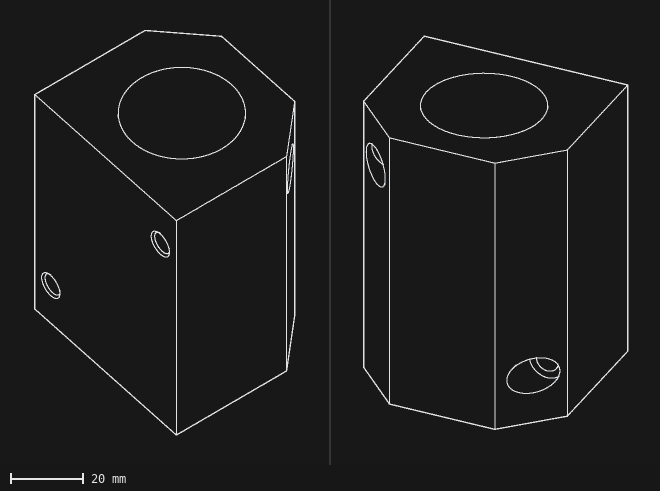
import cadquery as cq

width = 62.0
depth = 54.0
height = 85.0
corner_cut = 15.0

bore_diameter = 35.0

bolt_offset_x = 24.0
bolt_offset_z = 27.5
bolt_diameter = 6.6
bolt_mouth_diameter = 8.0
counterbore_diameter = 11.0
counterbore_floor_y = 37.0


def make_block():
    block = cq.Workplane("XY").box(width, depth, height, centered=(True, False, False))
    return block.edges("|Z and >Y").chamfer(corner_cut)


def make_bore():
    return cq.Workplane("XY").center(0, depth / 2).circle(bore_diameter / 2).extrude(height)


def make_bolt_hole(x, z):
    """Through hole with a 45 degree front mouth and a rear counterbore, revolved about its axis."""
    hole_radius = bolt_diameter / 2
    mouth_radius = bolt_mouth_diameter / 2
    counterbore_radius = counterbore_diameter / 2
    profile = (
        cq.Workplane("XY")
        .moveTo(0, 0)
        .lineTo(mouth_radius, 0)
        .lineTo(hole_radius, mouth_radius - hole_radius)
        .lineTo(hole_radius, counterbore_floor_y)
        .lineTo(counterbore_radius, counterbore_floor_y)
        .lineTo(counterbore_radius, depth)
        .lineTo(0, depth)
        .close()
    )
    return profile.revolve(360, (0, 0, 0), (0, 1, 0)).translate((x, 0, z))


result = make_block().cut(make_bore())
for side in (-1, 1):
    result = result.cut(make_bolt_hole(side * bolt_offset_x, height / 2 + side * bolt_offset_z))